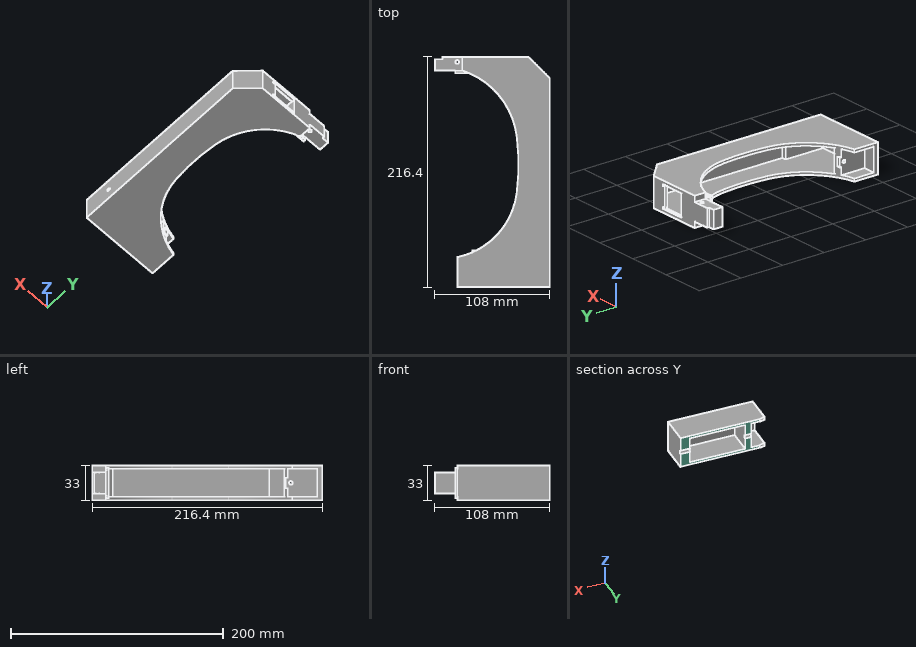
import cadquery as cq
import math

length_x = 108.0
length_y = 216.4
height = 33.0
corner_chamfer = 20.0

foot_x = 21.3
foot_mouth_y = 28.3
arm_end_x = 26.0
arm_depth = 13.0
arm_inner_y = length_y - arm_depth

mouth_mid_y = 115.0
mouth_deepest_x = 78.5
mouth_mid_radius = 215.0
mouth_mid_length_y = 53.0

cover_wall = 3.3
foot_wall = 5.0
arm_wall = 3.5
back_wall = 5.0
cavity_height = height - 2 * cover_wall
inner_chamfer_end_y = 197.1
back_pad_thickness = 5.0
back_pad_end_y = 50.0

window_start_x = 46.2
window_end_x = 71.4
window_sill = 0.8
window_screw_diameter = 2.0
window_screw_offset = 2.0
window_screw_x = window_end_x + window_screw_offset
window_screw_z = 11.5

tongue_height = 20.0
tongue_relief_length = 7.0
tongue_relief_depth = 2.2
tongue_hole_diameter = 3.3
tongue_hole_x = 21.0
tongue_hole_y = 211.5

plate_x = 19.1
plate_end_x = 31.0
plate_y = 200.9
plate_height = 29.0
plate_hole_diameter = 2.0
plate_hole_x = 22.9
plate_hole_z = 13.0

partition_x = 35.3
partition_end_x = 41.9
tab_top_y = 34.6
tab_height = 10.0
wire_hole_diameter = 3.2
wire_hole_y = 29.6


def block(x, y, z):
    """Box given by its (low, high) range along each axis."""
    return (
        cq.Workplane("XY")
        .box(x[1] - x[0], y[1] - y[0], z[1] - z[0], centered=False)
        .translate((x[0], y[0], z[0]))
    )


def centred(size):
    """Range of the given size, centred on zero."""
    return (-size / 2, size / 2)


def tangent_arc_middle(seam, direction, end):
    """Middle point of the arc that starts at seam, square to direction, and finishes at end."""
    run = (end[0] - seam[0], end[1] - seam[1])
    along = run[0] * direction[0] + run[1] * direction[1]
    radius = -(run[0] ** 2 + run[1] ** 2) / (2 * along)
    centre = (seam[0] - radius * direction[0], seam[1] - radius * direction[1])
    start_angle = math.atan2(direction[1], direction[0])
    end_angle = math.atan2(end[1] - centre[1], end[0] - centre[0])
    mid_angle = (start_angle + end_angle) / 2
    return (centre[0] + radius * math.cos(mid_angle), centre[1] + radius * math.sin(mid_angle))


def outline_body():
    """Solid C-shaped frame, with the three-arc mouth on its -X side."""
    seam_angle = math.asin(mouth_mid_length_y / 2 / mouth_mid_radius)
    seam_x = mouth_deepest_x - mouth_mid_radius * (1 - math.cos(seam_angle))
    upper_seam = (seam_x, mouth_mid_y + mouth_mid_length_y / 2)
    lower_seam = (seam_x, mouth_mid_y - mouth_mid_length_y / 2)
    upper_direction = (math.cos(seam_angle), math.sin(seam_angle))
    lower_direction = (math.cos(seam_angle), -math.sin(seam_angle))
    arm_corner = (arm_end_x, arm_inner_y)
    foot_corner = (foot_x, foot_mouth_y)
    return (
        cq.Workplane("XY", origin=(0, 0, -height / 2))
        .moveTo(foot_x, 0)
        .lineTo(length_x, 0)
        .lineTo(length_x, length_y - corner_chamfer)
        .lineTo(length_x - corner_chamfer, length_y)
        .lineTo(arm_end_x, length_y)
        .lineTo(*arm_corner)
        .threePointArc(tangent_arc_middle(upper_seam, upper_direction, arm_corner), upper_seam)
        .threePointArc((mouth_deepest_x, mouth_mid_y), lower_seam)
        .threePointArc(tangent_arc_middle(lower_seam, lower_direction, foot_corner), foot_corner)
        .close()
        .extrude(height)
    )


def cavity():
    """Hollow between the two covers, open to the mouth, less the back pad and the partition."""
    back_x = length_x - back_wall
    arm_y = length_y - arm_wall
    room = (
        cq.Workplane("XY", origin=(0, 0, -cavity_height / 2))
        .moveTo(0, foot_wall)
        .lineTo(back_x, foot_wall)
        .lineTo(back_x, inner_chamfer_end_y)
        .lineTo(back_x - (arm_y - inner_chamfer_end_y), arm_y)
        .lineTo(window_start_x, arm_y)
        .lineTo(window_start_x, arm_inner_y)
        .lineTo(0, arm_inner_y)
        .close()
        .extrude(cavity_height)
    )
    inside_z = centred(cavity_height)
    pad = block((back_x - back_pad_thickness, back_x), (foot_wall, back_pad_end_y), inside_z)
    partition = block((partition_x, partition_end_x), (foot_wall, mouth_mid_y), inside_z)
    return room.cut(pad).cut(partition)


def screw_pair(x, z, diameter, start_y, end_y):
    """Two holes along Y, placed evenly above and below mid height."""
    return (
        cq.Workplane("XZ", origin=(x, end_y, 0))
        .pushPoints([(0, -z), (0, z)])
        .circle(diameter / 2)
        .extrude(end_y - start_y)
    )


def window():
    """Opening through the arm wall, with a pair of screw holes beside it."""
    opening = block(
        (window_start_x, window_end_x),
        (length_y - arm_wall, length_y),
        centred(cavity_height - 2 * window_sill),
    )
    screws = screw_pair(
        window_screw_x, window_screw_z, window_screw_diameter, length_y - arm_wall, length_y
    )
    return opening.union(screws)


def tongue():
    """Bar reaching past the end of the arm, with a relieved tip and a pin hole along Z."""
    bar = block((0, arm_end_x), (arm_inner_y, length_y), centred(tongue_height))
    relief = block(
        (0, tongue_relief_length),
        (length_y - tongue_relief_depth, length_y),
        centred(tongue_height),
    )
    hole = (
        cq.Workplane("XY", origin=(tongue_hole_x, tongue_hole_y, -height / 2))
        .circle(tongue_hole_diameter / 2)
        .extrude(height)
    )
    return bar.cut(relief).cut(hole)


def hinge_plate():
    """Plate on the inner face of the arm, with two screw holes along Y."""
    plate = block((plate_x, plate_end_x), (plate_y, arm_inner_y), centred(plate_height))
    screws = screw_pair(plate_hole_x, plate_hole_z, plate_hole_diameter, plate_y, arm_inner_y)
    return plate.cut(screws)


def tab():
    """Tab that stands up from the partition, past the mouth arc."""
    return block((partition_x, partition_end_x), (foot_wall, tab_top_y), centred(tab_height))


def wire_hole():
    """Hole along X through the partition, the back pad and the back wall."""
    return (
        cq.Workplane("YZ", origin=(0, wire_hole_y, 0))
        .circle(wire_hole_diameter / 2)
        .extrude(length_x)
    )


result = (
    outline_body()
    .cut(cavity())
    .cut(window())
    .union(tongue())
    .union(hinge_plate())
    .union(tab())
    .cut(wire_hole())
)